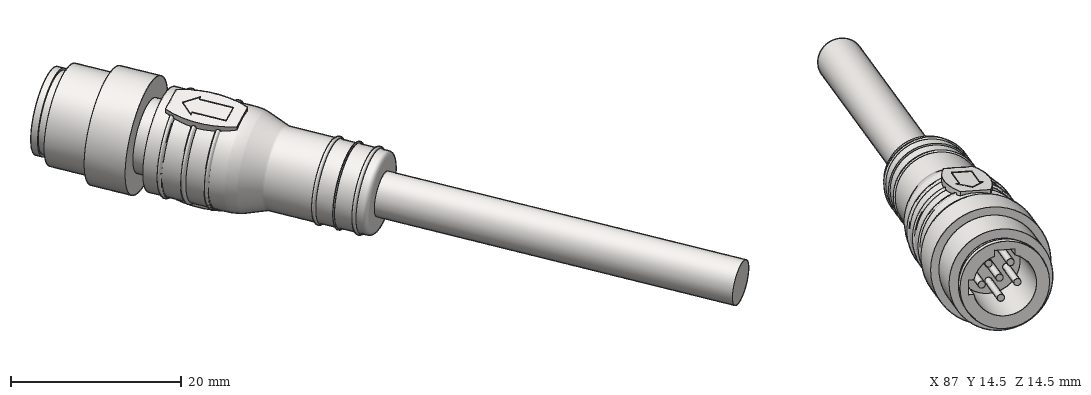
import cadquery as cq
import math

total_length = 87.0
nut_diameter = 14.5

lip_end = 0.9
nose_end = 2.0
sleeve_end = 7.4
nut_end = 12.5
neck_end = 14.4
taper_start = 25.5
taper_end = 29.1
boot_end = 42.1

lip_radius = 5.4
nose_radius = 5.1
sleeve_radius = 6.3
nut_radius = nut_diameter / 2
neck_radius = 4.6
grip_radius = 6.4
boot_radius = 5.1
cable_radius = 2.8

taper_blend = 4.35
boot_blend = 0.4
boot_rounding = 0.5

ring_height = 0.3
ring_width = 0.7
thin_ring_width = 0.35
ring_foot_radius = 0.1
grip_ring_middle = 19.5
grip_ring_pitch = 3.0
boot_ring_middle = 37.9
boot_ring_pitch = 2.5

pad_start = 15.6
pad_end = 24.5
pad_half_width = 2.8
pad_end_half_width = 1.8
pad_root = 4.35
pad_height = 6.7

arrow_tip = 17.05
arrow_head_length = 1.65
arrow_end = 23.0
arrow_head_half_width = 1.65
arrow_shaft_half_width = 1.2
arrow_depth = 0.1

socket_radius = 3.8
socket_depth = 8.7
keyway_reach = 4.35
top_keyway_width = 2.4
side_keyway_width = 1.8
pin_radius = 0.4
pin_circle_radius = 2.3
pin_count = 5
pin_length = 5.9
first_pin_extra_length = 0.7


def cylinder(start, end, radius, y=0.0, z=0.0):
    """Cylinder along X between two stations."""
    plane = cq.Workplane("YZ", origin=(start, y, z))
    return plane.circle(radius).extrude(end - start)


def make_front():
    """Lip, nose, sleeve, coupling nut and neck."""
    front = cylinder(0, lip_end, lip_radius)
    front = front.union(cylinder(0, nose_end, nose_radius))
    front = front.union(cylinder(nose_end, sleeve_end, sleeve_radius))
    front = front.union(cylinder(sleeve_end, nut_end, nut_radius))
    return front.union(cylinder(nut_end, neck_end, neck_radius))


def make_grip_and_boot():
    """Grip that tapers into the strain relief boot, with blended corners."""
    profile = (
        cq.Workplane("XY")
        .moveTo(neck_end, 0)
        .lineTo(neck_end, grip_radius)
        .lineTo(taper_start, grip_radius)
        .lineTo(taper_end, boot_radius)
        .lineTo(boot_end, boot_radius)
        .lineTo(boot_end, 0)
        .close()
    )
    body = profile.revolve(360, (0, 0, 0), (1, 0, 0))

    def circle_at(x):
        margin = 0.1
        low = (x - margin, -nut_radius, -nut_radius)
        high = (x + margin, nut_radius, nut_radius)
        return cq.selectors.BoxSelector(low, high, boundingbox=True)

    body = body.edges(circle_at(taper_start)).fillet(taper_blend)
    body = body.edges(circle_at(taper_end)).fillet(boot_blend)
    return body.edges(circle_at(boot_end)).fillet(boot_rounding)


def make_ring(middle, base_radius, width):
    """Raised ring with a rounded crown and a small fillet at each foot."""
    foot = width / 2
    side = foot - ring_foot_radius
    fillet_top = base_radius + ring_foot_radius
    fillet_sag = ring_foot_radius * (1 - math.sqrt(0.5))
    fillet_middle = side + fillet_sag
    profile = (
        cq.Workplane("XY")
        .moveTo(middle - foot, 0)
        .lineTo(middle - foot, base_radius)
        .threePointArc((middle - fillet_middle, base_radius + fillet_sag), (middle - side, fillet_top))
        .threePointArc((middle, base_radius + ring_height), (middle + side, fillet_top))
        .threePointArc((middle + fillet_middle, base_radius + fillet_sag), (middle + foot, base_radius))
        .lineTo(middle + foot, 0)
        .close()
    )
    return profile.revolve(360, (0, 0, 0), (1, 0, 0))


def make_pad():
    """Flat-topped pad with bowed long sides, standing up from the grip."""
    middle = (pad_start + pad_end) / 2
    return (
        cq.Workplane("XY", origin=(0, 0, pad_root))
        .moveTo(pad_start, -pad_end_half_width)
        .threePointArc((middle, -pad_half_width), (pad_end, -pad_end_half_width))
        .lineTo(pad_end, pad_end_half_width)
        .threePointArc((middle, pad_half_width), (pad_start, pad_end_half_width))
        .close()
        .extrude(pad_height - pad_root)
    )


def make_arrow():
    """Arrow that points at the front face."""
    head_end = arrow_tip + arrow_head_length
    outline = [
        (arrow_tip, 0),
        (head_end, arrow_head_half_width),
        (head_end, arrow_shaft_half_width),
        (arrow_end, arrow_shaft_half_width),
        (arrow_end, -arrow_shaft_half_width),
        (head_end, -arrow_shaft_half_width),
        (head_end, -arrow_head_half_width),
    ]
    floor = cq.Workplane("XY", origin=(0, 0, pad_height - arrow_depth))
    return floor.polyline(outline).close().extrude(arrow_depth)


def make_socket():
    """Round socket with one keyway toward +Z and one toward +Y."""
    socket = cylinder(0, socket_depth, socket_radius)
    top_keyway = cq.Workplane("XY").box(
        socket_depth, top_keyway_width, keyway_reach, centered=(False, True, False)
    )
    side_keyway = cq.Workplane("XY").box(
        socket_depth, keyway_reach, side_keyway_width, centered=(False, False, True)
    )
    return socket.union(top_keyway).union(side_keyway)


def make_pins():
    """One pin on the axis and a circle of pins around it, the first at -Z and longer."""
    start = socket_depth - pin_length
    pins = cylinder(start, socket_depth, pin_radius)
    for index in range(pin_count):
        angle = 2 * math.pi * index / pin_count
        y = pin_circle_radius * math.sin(angle)
        z = -pin_circle_radius * math.cos(angle)
        tip = start - first_pin_extra_length if index == 0 else start
        pins = pins.union(cylinder(tip, socket_depth, pin_radius, y, z))
    return pins


result = make_front().union(make_grip_and_boot())
result = result.union(cylinder(boot_end, total_length, cable_radius))
for step in (-1, 0, 1):
    boot_ring_width = thin_ring_width if step == 0 else ring_width
    grip_ring = make_ring(grip_ring_middle + step * grip_ring_pitch, grip_radius, ring_width)
    boot_ring = make_ring(boot_ring_middle + step * boot_ring_pitch, boot_radius, boot_ring_width)
    result = result.union(grip_ring).union(boot_ring)
pad = make_pad()
result = result.union(pad).union(pad.mirror("XY"))
result = result.cut(make_arrow())
result = result.cut(make_socket()).union(make_pins())